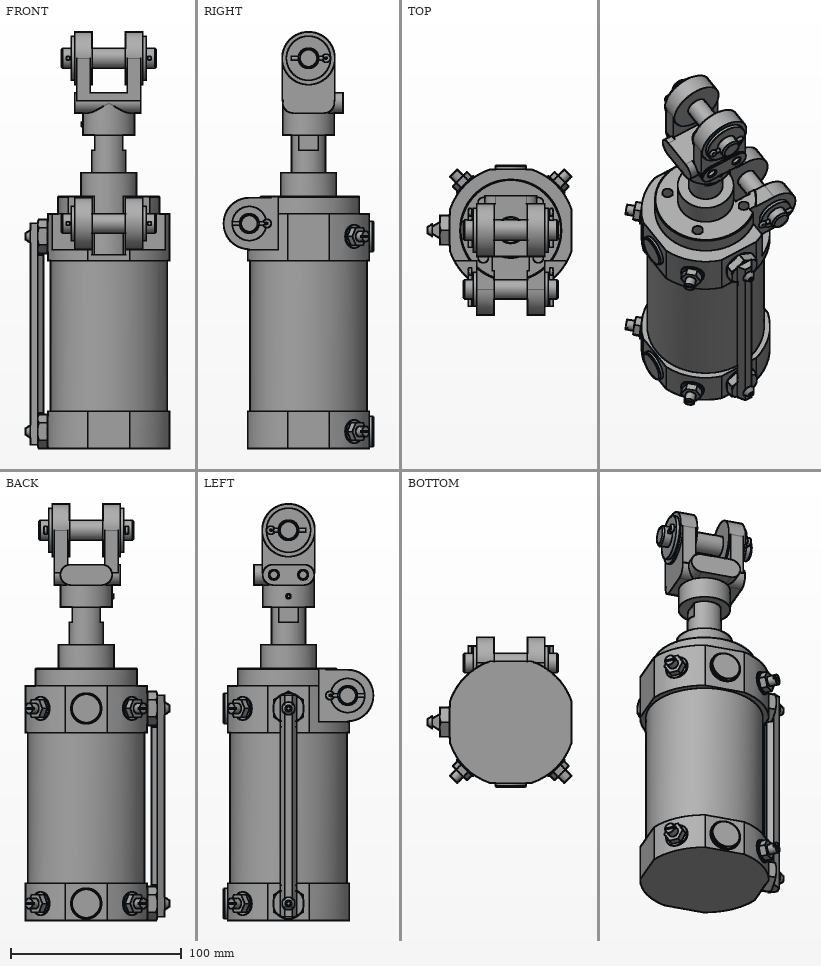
import cadquery as cq
import math


flat_offset = 35.7
flat_half_width = 12.2
cap_radius = math.hypot(flat_offset, flat_half_width)
base_height = 22.0
tube_radius = 68.7 / 2
head_bottom = 110.3
head_top = 137.7
flange_radius = 29.8
flange_chamfer = 0.5
flange_top = 148.0
collar_radius = 16.5
collar_top = 161.9
flange_hole_dia = 6.0
flange_hole_depth = 9.8
flange_hole_offset = 16.1
port_heights = (10.0, 124.5)

eye_inner = 9.8
eye_outer = 20.0

lug_radius = 15.2
notch_floor = 116.6
lug_y = -34.7
lug_z = 132.0
notch_y = -17.8
pocket_half_width = 10.8
pocket_back = -14.0
pocket_front = -23.7
pocket_floor = 113.7

plug_dia = 18.0
plug_end = 38.1
plug_chamfer = 0.7
plug_root = tube_radius - 2.5
valve_angles = (45, 135)
valve_root = tube_radius - 2.5
valve_seat_dia = 13.7
valve_seat_end = 38.1
valve_hex_dia = 12.0
valve_hex_end = 42.3
valve_stem_dia = 6.0
valve_stem_end = 47.5
valve_slot_width = 1.0
valve_slot_depth = 1.2
nut_seat_dia = 18.0
nut_seat_thickness = 0.5
nut_corner_dia = 20.0
nut_face_dia = 18.0
nut_face = 41.5
nut_chamfer_angle = 30

rail_front = 46.0
rail_inner = 38.1
rail_edge_half_width = 2.2
rail_half_width = 5.0
rail_half_length = 65.0
rail_rib_half_length = 46.5
screw_base_dia = 7.5
screw_tip_dia = 3.7
screw_end = 49.0
screw_socket_dia = 2.3
screw_socket_depth = 1.2

rod_dia = 20.0
rod_shoulder = 183.9
rod_end_dia = 15.6
rod_end_chamfer = 0.5
rod_flat_offset = 8.3
rod_flat_length = 8.8

fork_radius = 31.0 / 2
fork_block_bottom = 204.2
fork_floor = 208.8
fork_pin_z = 244.5 - fork_radius
cheek_inner = 10.8
cheek_outer = 18.8
bar_height = 12.0
bar_z = fork_floor - bar_height / 2
bar_half_length = 15.2
bar_end = 20.3
tapped_hole_dia = 5.0
tapped_mouth_dia = 6.0
tapped_hole_offset = 8.5
tapped_hole_depth = 9.8
locking_pin_dia = 3.0
locking_pin_z = 190.2
locking_pin_end = 16.1
locking_pin_chamfer = 0.5

fork_pin_dia = 12.0
lug_pin_dia = 11.5
pin_half_length = 27.9
pin_chamfer = 1.0
washer_outer = 22.0
fork_washer_dia = 26.0
lug_washer_dia = 20.0
split_pin_x = 23.85
split_pin_dia = 2.3
split_pin_tail = 10.0
split_pin_eye_y = 10.4
split_pin_eye_dia = 5.0
split_pin_eye_wire = 2.0


def block(x0, x1, y0, y1, z0, z1):
    """Box between two opposite corners."""
    return cq.Workplane("XY").box(x1 - x0, y1 - y0, z1 - z0, centered=False).translate((x0, y0, z0))


def post(dia, z0, z1):
    """Vertical cylinder on the Z axis."""
    return cq.Workplane("XY").workplane(offset=z0).circle(dia / 2).extrude(z1 - z0)


def bar_x(dia, x0, x1, y=0, z=0):
    """Cylinder along X."""
    return cq.Workplane("YZ", origin=(x0, y, z)).circle(dia / 2).extrude(x1 - x0)


def flatted_disc(z0, z1):
    """Round cap with flats on its four sides."""
    square = block(-flat_offset, flat_offset, -flat_offset, flat_offset, z0, z1)
    return post(2 * cap_radius, z0, z1).intersect(square)


def lug(side):
    """Lug plate with a round nose, on the -X or +X side."""
    x0, x1 = sorted((side * eye_inner, side * eye_outer))
    arm = block(x0, x1, lug_y, notch_y, notch_floor, lug_z + lug_radius)
    return bar_x(2 * lug_radius, x0, x1, lug_y, lug_z).union(arm)


def lug_notch():
    """Front of the head cut away across its full width, which leaves the flange between the lugs' outer sides."""
    reach = 2 * cap_radius
    low = block(-reach, reach, -reach, notch_y, notch_floor, head_top)
    left = block(-reach, -eye_outer, -reach, notch_y, head_top, flange_top)
    return low.union(left).union(left.mirror("YZ"))


def lug_pocket():
    """Space between the lugs, which leaves the collar standing at its back."""
    wide = block(-pocket_half_width, pocket_half_width, pocket_front, pocket_back, pocket_floor, flange_top)
    narrow = block(-eye_inner, eye_inner, -2 * cap_radius, pocket_front, pocket_floor, flange_top)
    return wide.union(narrow).cut(post(2 * collar_radius, pocket_floor, flange_top))


def needle_valve(angle, z):
    """Seat, hexagon and slotted stem pointing out radially."""
    valve = bar_x(valve_seat_dia, valve_root, valve_seat_end)
    hexagon = cq.Workplane("YZ").polygon(6, valve_hex_dia).extrude(valve_hex_end)
    hexagon = hexagon.intersect(bar_x(valve_hex_dia, valve_root, valve_hex_end))
    stem = bar_x(valve_stem_dia, tube_radius, valve_stem_end)
    slot = block(
        valve_stem_end - valve_slot_depth, valve_stem_end,
        -valve_stem_dia, valve_stem_dia,
        -valve_slot_width / 2, valve_slot_width / 2,
    )
    valve = valve.union(hexagon).union(stem).cut(slot)
    return valve.rotate((0, 0, 0), (0, 0, 1), angle).translate((0, 0, z))


def rail_nut(z):
    """Hexagon on the -X flat with its corners chamfered at both ends."""
    rise = (nut_corner_dia - nut_face_dia) / 2
    run = rise * math.tan(math.radians(nut_chamfer_angle))
    length = nut_face - flat_offset
    barrel = (
        cq.Workplane("XY")
        .polyline([
            (0, 0),
            (0, nut_face_dia / 2),
            (run, nut_corner_dia / 2),
            (length - run, nut_corner_dia / 2),
            (length, nut_face_dia / 2),
            (length, 0),
        ])
        .close()
        .revolve(360, (0, 0, 0), (1, 0, 0))
    )
    hexagon = cq.Workplane("YZ").polygon(6, nut_corner_dia).extrude(length)
    hexagon = hexagon.rotate((0, 0, 0), (1, 0, 0), 90)
    return hexagon.intersect(barrel).translate((-nut_face, 0, z))


def port_plug(z):
    """Round plug with a chamfered rim on the +Y flat."""
    plug = cq.Workplane("XZ", origin=(0, plug_end, z)).circle(plug_dia / 2).extrude(plug_end - plug_root)
    return plug.faces(">Y").chamfer(plug_chamfer)


def make_housing():
    body = flatted_disc(0, base_height)
    body = body.union(post(2 * tube_radius, base_height, head_bottom))
    body = body.union(flatted_disc(head_bottom, head_top))
    flange = post(2 * flange_radius, head_top, flange_top).faces(">Z").chamfer(flange_chamfer)
    body = body.union(flange)
    body = body.union(post(2 * collar_radius, flange_top, collar_top))
    body = body.cut(lug_notch())
    for side in (-1, 1):
        body = body.union(lug(side))
    body = body.cut(lug_pocket())
    body = body.cut(post(rod_dia, head_bottom, collar_top))
    body = body.cut(bar_x(lug_pin_dia, -eye_outer, eye_outer, lug_y, lug_z))
    for x in (-flange_hole_offset, flange_hole_offset):
        for y in (-flange_hole_offset, flange_hole_offset):
            hole = post(flange_hole_dia, flange_top - flange_hole_depth, flange_top)
            body = body.cut(hole.translate((x, y, 0)))
    for z in port_heights:
        body = body.union(port_plug(z)).union(rail_nut(z))
        body = body.union(bar_x(nut_seat_dia, -flat_offset - nut_seat_thickness, -tube_radius, 0, z))
        for angle in valve_angles:
            body = body.union(needle_valve(angle, z))
    return body


def make_rod():
    rod = post(rod_dia, head_bottom, rod_shoulder)
    for side in (-1, 1):
        x0, x1 = sorted((side * rod_flat_offset, side * rod_dia))
        rod = rod.cut(block(x0, x1, -rod_dia, rod_dia, rod_shoulder - rod_flat_length, rod_shoulder))
    rod_end = post(rod_end_dia, rod_shoulder, fork_floor).faces(">Z").chamfer(rod_end_chamfer)
    return rod.union(rod_end).cut(make_locking_pin())


def make_locking_pin():
    pin = bar_x(locking_pin_dia, -locking_pin_end, rod_end_dia / 2, 0, locking_pin_z)
    return pin.faces("<X").chamfer(locking_pin_chamfer)


def fork_bar(plane, origin, length):
    """Bar with a round-ended section, starting at origin and running along the plane's normal."""
    return (
        cq.Workplane(plane, origin=origin)
        .slot2D(2 * bar_half_length, bar_height)
        .extrude(length)
    )


def tapped_hole(y):
    """Hole in the -X end of the bar with a chamfered mouth."""
    mouth = (tapped_mouth_dia - tapped_hole_dia) / 2
    hole = bar_x(tapped_hole_dia, -eye_outer, tapped_hole_depth - eye_outer, y, bar_z)
    cone = cq.Solid.makeCone(
        tapped_mouth_dia / 2, tapped_hole_dia / 2, mouth,
        cq.Vector(-eye_outer, y, bar_z), cq.Vector(1, 0, 0),
    )
    return hole.union(cq.Workplane(cone))


def make_fork():
    fork = block(-cheek_outer, cheek_outer, -fork_radius, fork_radius, fork_block_bottom, fork_pin_z)
    fork = fork.cut(block(-cheek_inner, cheek_inner, -fork_radius, fork_radius, fork_floor, fork_pin_z))
    for x0, x1 in ((-eye_outer, -eye_inner), (eye_inner, eye_outer)):
        fork = fork.union(bar_x(2 * fork_radius, x0, x1, 0, fork_pin_z))
    fork = fork.union(post(2 * bar_half_length, rod_shoulder, bar_z))
    fork = fork.union(fork_bar("YZ", (-eye_outer, 0, bar_z), eye_outer + cheek_outer))
    fork = fork.union(fork_bar("XZ", (0, bar_end, bar_z), bar_end))
    fork = fork.cut(post(rod_end_dia, rod_shoulder, fork_floor))
    fork = fork.cut(bar_x(fork_pin_dia, -eye_outer, eye_outer, 0, fork_pin_z))
    for y in (-tapped_hole_offset, tapped_hole_offset):
        fork = fork.cut(tapped_hole(y))
    return fork.cut(make_locking_pin())


def split_pin(x):
    """Wire through the pin along Y with a ring-shaped eye."""
    wire_radius = split_pin_dia / 2
    ring_wire_radius = split_pin_eye_wire / 2
    ring_radius = split_pin_eye_dia / 2 - ring_wire_radius
    length = split_pin_tail + split_pin_eye_y - ring_radius
    wire = cq.Workplane("XZ", origin=(x, -split_pin_tail, 0)).circle(wire_radius).extrude(-length)
    ring = cq.Solid.makeTorus(
        ring_radius, ring_wire_radius, cq.Vector(x, split_pin_eye_y, 0), cq.Vector(1, 0, 0)
    )
    return wire.union(cq.Workplane(ring))


def make_clevis_pin(pin_dia, washer_dia, y, z):
    """Pin along X with a washer and a split pin at each end."""
    pin = bar_x(pin_dia, -pin_half_length, pin_half_length).faces("<X or >X").chamfer(pin_chamfer)
    for x0, x1 in ((-washer_outer, -eye_outer), (eye_outer, washer_outer)):
        pin = pin.union(bar_x(washer_dia, x0, x1))
    for x in (-split_pin_x, split_pin_x):
        pin = pin.union(split_pin(x))
    return pin.translate((0, y, z))


def rail_screw(z):
    """Cone-shaped screw head with a socket on the front of the rail."""
    length = screw_end - rail_front
    cone = cq.Workplane(
        cq.Solid.makeCone(
            screw_base_dia / 2, screw_tip_dia / 2, length,
            cq.Vector(-rail_front, 0, z), cq.Vector(-1, 0, 0),
        )
    )
    return cone.cut(bar_x(screw_socket_dia, -screw_end, screw_socket_depth - screw_end, 0, z))


def rail_half(x, half_length):
    """Stretch of rail that tapers from its full width at the nut face to the edge at x."""
    middle = sum(port_heights) / 2
    return (
        cq.Workplane("XY", origin=(0, 0, middle - half_length))
        .polyline([
            (-nut_face, rail_half_width),
            (-nut_face, -rail_half_width),
            (-x, -rail_edge_half_width),
            (-x, rail_edge_half_width),
        ])
        .close()
        .extrude(2 * half_length)
    )


def make_rail():
    rail = rail_half(rail_front, rail_half_length)
    rail = rail.union(rail_half(rail_inner, rail_rib_half_length))
    for z in port_heights:
        rail = rail.union(rail_screw(z))
    return rail


housing = make_housing()
rod = make_rod()
fork = make_fork()
fork_pin = make_clevis_pin(fork_pin_dia, fork_washer_dia, 0, fork_pin_z)
lug_pin = make_clevis_pin(lug_pin_dia, lug_washer_dia, lug_y, lug_z)
rail = make_rail()
locking_pin = make_locking_pin()

result = cq.Compound.makeCompound([
    *housing.solids().vals(),
    *rod.solids().vals(),
    *fork.solids().vals(),
    *fork_pin.solids().vals(),
    *lug_pin.solids().vals(),
    *rail.solids().vals(),
    *locking_pin.solids().vals(),
])